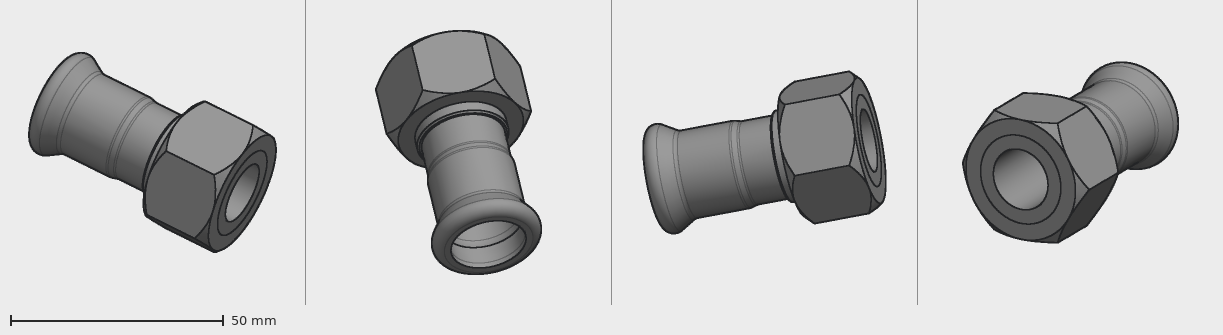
import cadquery as cq
import math

total_length = 52.0
bead_blend_end = 8.15
taper_start = 20.75
collar_start = 30.95
nut_start = 33.95

tube_radius = 21.0 / 2
neck_radius = 20.0 / 2
collar_radius = 22.0 / 2
socket_radius = 18.0 / 2
bore_radius = 15.0 / 2

bead_round = 2.5
bead_radius = 13.1
bead_slope = math.radians(30)
mouth_land = 1.5

blend_radius = 2.0
taper_slope = math.radians(15)
collar_chamfer = 0.45

nut_flats = 30.0
nut_chamfer_length = 2.4


def on_circle(center, radius, angle):
    """Point at an angle from the radial direction, positive toward +X."""
    return (center[0] + radius * math.sin(angle), center[1] + radius * math.cos(angle))


def make_sleeve():
    """Revolved press sleeve with a beaded socket, a stepped neck and a collar."""
    bead_center = (bead_round, bead_radius - bead_round)
    bead_crown = on_circle(bead_center, bead_round, 0)
    bead_tangent = on_circle(bead_center, bead_round, bead_slope)

    blend_center = (bead_blend_end, tube_radius + blend_radius)
    inner_blend_radius = blend_center[1] - socket_radius
    blend_start = on_circle(blend_center, blend_radius, math.pi + bead_slope)
    blend_middle = on_circle(blend_center, blend_radius, math.pi + bead_slope / 2)
    inner_blend_start = on_circle(blend_center, inner_blend_radius, math.pi + bead_slope)
    inner_blend_middle = on_circle(blend_center, inner_blend_radius, math.pi + bead_slope / 2)

    taper_blend_drop = blend_radius * (1 - math.cos(taper_slope))
    taper_cone_drop = tube_radius - neck_radius - 2 * taper_blend_drop
    taper_length = 2 * blend_radius * math.sin(taper_slope) + taper_cone_drop / math.tan(taper_slope)
    taper_end = taper_start + taper_length
    convex_center = (taper_start, tube_radius - blend_radius)
    concave_center = (taper_end, neck_radius + blend_radius)

    profile = (
        cq.Workplane("XY")
        .moveTo(0, socket_radius)
        .lineTo(0, bead_center[1])
        .threePointArc(bead_crown, bead_tangent)
        .lineTo(*blend_start)
        .threePointArc(blend_middle, (bead_blend_end, tube_radius))
        .lineTo(taper_start, tube_radius)
        .threePointArc(
            on_circle(convex_center, blend_radius, taper_slope / 2),
            on_circle(convex_center, blend_radius, taper_slope),
        )
        .lineTo(*on_circle(concave_center, blend_radius, math.pi + taper_slope))
        .threePointArc(
            on_circle(concave_center, blend_radius, math.pi + taper_slope / 2),
            (taper_end, neck_radius),
        )
        .lineTo(collar_start, neck_radius)
        .lineTo(collar_start, collar_radius - collar_chamfer)
        .lineTo(collar_start + collar_chamfer, collar_radius)
        .lineTo(total_length, collar_radius)
        .lineTo(total_length, bore_radius)
        .lineTo(taper_start, bore_radius)
        .lineTo(taper_start, socket_radius)
        .lineTo(bead_blend_end, socket_radius)
        .threePointArc(inner_blend_middle, inner_blend_start)
        .lineTo(mouth_land, socket_radius)
        .close()
    )
    return profile.revolve(360, (0, 0, 0), (1, 0, 0))


def make_nut():
    """Hexagon nut with conical corner chamfers at both ends and a hole for the collar."""
    flat_radius = nut_flats / 2
    corner_radius = flat_radius / math.cos(math.pi / 6)
    nut_length = total_length - nut_start
    hexagon = (
        cq.Workplane("YZ", origin=(nut_start, 0, 0))
        .polygon(6, 2 * corner_radius)
        .extrude(nut_length)
    )
    chamfer_envelope = (
        cq.Workplane("XY")
        .moveTo(nut_start, collar_radius)
        .lineTo(nut_start, flat_radius)
        .lineTo(nut_start + nut_chamfer_length, corner_radius)
        .lineTo(total_length - nut_chamfer_length, corner_radius)
        .lineTo(total_length, flat_radius)
        .lineTo(total_length, collar_radius)
        .close()
        .revolve(360, (0, 0, 0), (1, 0, 0))
    )
    return hexagon.intersect(chamfer_envelope)


sleeve = make_sleeve()
nut = make_nut()

result = cq.Compound.makeCompound([sleeve.val(), *nut.solids().vals()])